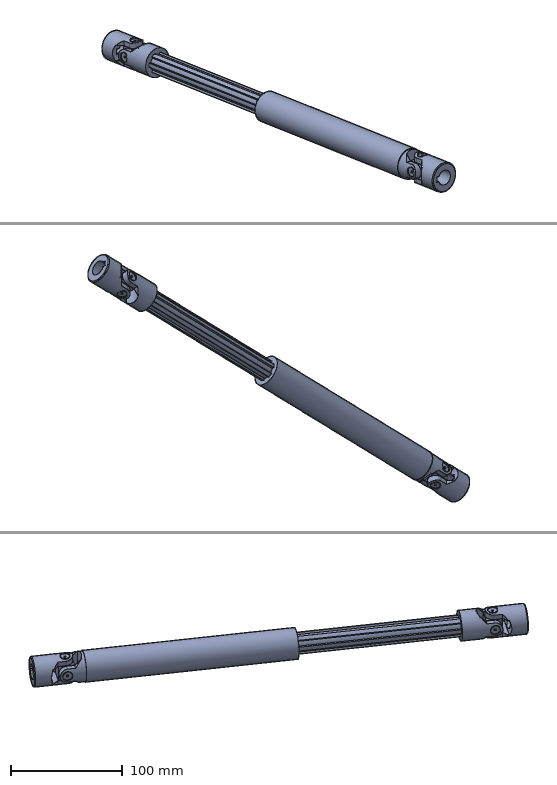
import cadquery as cq


TOTAL_LENGTH = 450.0
SLEEVE_DIA = 29.0
JOINT_DIA = 28.0
JOINT_RADIUS = JOINT_DIA / 2

JOINT_HALF_LENGTH = 30.0
LEFT_JOINT_X = JOINT_HALF_LENGTH
RIGHT_JOINT_X = TOTAL_LENGTH - JOINT_HALF_LENGTH
EAR_WIDTH = 14.0
EAR_TIP_RADIUS = EAR_WIDTH / 2
BEVEL_START = 14.5
BEVEL_END = BEVEL_START - (JOINT_RADIUS - EAR_WIDTH / 2)
CROSS_SIZE = 15.0
SLOT_END_RADIUS = 15.0

PIN_DIA = 9.0
PIN_REACH = 12.5
CENTRE_HOLE_DIA = 2.0
CENTRE_HOLE_DEPTH = 2.0

HUB_BORE_DIA = 14.0
HUB_CHAMFER = 1.0
KEYWAY_WIDTH = 5.0
KEYWAY_REACH = 9.0

SPLINE_TEETH = 6
SPLINE_ROOT_DIA = 16.0
SPLINE_TIP_DIA = 20.0
SPLINE_TOOTH_WIDTH = 4.0
SLEEVE_START_X = 209.2
SLEEVE_END_X = 402.8
SHAFT_END_X = 387.0


def x_cylinder(diameter, x_start, x_end):
    """Solid cylinder on the X axis."""
    return cq.Workplane("YZ", origin=(x_start, 0, 0)).circle(diameter / 2).extrude(x_end - x_start)


def yoke(body_length):
    """Forked cylinder: pin axis along Z through the origin, body towards -X."""
    ear_half = EAR_WIDTH / 2
    outline = (
        cq.Workplane("XY", origin=(0, 0, -JOINT_RADIUS))
        .moveTo(-body_length, -JOINT_RADIUS)
        .lineTo(-BEVEL_START, -JOINT_RADIUS)
        .lineTo(-BEVEL_END, -ear_half)
        .lineTo(0, -ear_half)
        .threePointArc((EAR_TIP_RADIUS, 0), (0, ear_half))
        .lineTo(-BEVEL_END, ear_half)
        .lineTo(-BEVEL_START, JOINT_RADIUS)
        .lineTo(-body_length, JOINT_RADIUS)
        .close()
        .extrude(JOINT_DIA)
    )
    slot_gap = cq.Workplane("XY").box(2 * SLOT_END_RADIUS, JOINT_DIA, CROSS_SIZE)
    slot = cq.Workplane("XZ").circle(SLOT_END_RADIUS).extrude(JOINT_RADIUS, both=True).intersect(slot_gap)
    pin_hole = cq.Workplane("XY").circle(PIN_DIA / 2).extrude(JOINT_RADIUS, both=True)
    body = x_cylinder(JOINT_DIA, -body_length, EAR_TIP_RADIUS)
    return body.intersect(outline).cut(slot).cut(pin_hole)


def spline_bar(x_start, x_end):
    """Splined bar with one tooth pointing along +Y."""
    length = x_end - x_start
    teeth = x_cylinder(SPLINE_ROOT_DIA, x_start, x_end)
    for index in range(SPLINE_TEETH):
        tooth = cq.Workplane("XY").box(
            length, SPLINE_TIP_DIA, SPLINE_TOOTH_WIDTH, centered=(False, False, True)
        ).translate((x_start, 0, 0))
        teeth = teeth.union(tooth.rotate((0, 0, 0), (1, 0, 0), index * 360 / SPLINE_TEETH))
    return teeth.intersect(x_cylinder(SPLINE_TIP_DIA, x_start, x_end))


def hub():
    """Keyed end hub: yoke with its pin axis along Z through the origin, bore open into the slot."""
    bore = x_cylinder(HUB_BORE_DIA, -JOINT_HALF_LENGTH, 0)
    keyway = cq.Workplane("XY").box(
        JOINT_HALF_LENGTH, KEYWAY_REACH, KEYWAY_WIDTH, centered=(False, False, True)
    ).translate((-JOINT_HALF_LENGTH, -KEYWAY_REACH, 0))
    return yoke(JOINT_HALF_LENGTH).faces("<X").edges().chamfer(HUB_CHAMFER).cut(bore).cut(keyway)


def cross():
    """Joint cross at the origin: cubic block with four pins along Y and Z."""
    block = cq.Workplane("XY").box(CROSS_SIZE, CROSS_SIZE, CROSS_SIZE)
    hole_start = PIN_REACH - CENTRE_HOLE_DEPTH
    for index in range(4):
        pin = cq.Workplane("XY").circle(PIN_DIA / 2).extrude(PIN_REACH)
        centre_hole = (
            cq.Workplane("XY", origin=(0, 0, hole_start))
            .circle(CENTRE_HOLE_DIA / 2)
            .extrude(CENTRE_HOLE_DEPTH)
        )
        angle = index * 90
        block = block.union(pin.rotate((0, 0, 0), (1, 0, 0), angle))
        block = block.cut(centre_hole.rotate((0, 0, 0), (1, 0, 0), angle))
    return block


def facing_left(body):
    """Turn a body half a turn about Z so that its fork opens towards -X."""
    return body.rotate((0, 0, 0), (0, 0, 1), 180)


def pins_along_y(body):
    """Turn a body a quarter turn about X so that its pin axis lies along Y."""
    return body.rotate((0, 0, 0), (1, 0, 0), 90)


def splined_shaft():
    """Left yoke with the spline bar that slides in the sleeve."""
    shaft_yoke = facing_left(pins_along_y(yoke(JOINT_HALF_LENGTH))).translate((LEFT_JOINT_X, 0, 0))
    return shaft_yoke.union(spline_bar(LEFT_JOINT_X + JOINT_HALF_LENGTH, SHAFT_END_X))


def sleeve():
    """Right yoke with the long sleeve; its blind splined bore holds the shaft."""
    body = pins_along_y(yoke(RIGHT_JOINT_X - SLEEVE_END_X)).translate((RIGHT_JOINT_X, 0, 0))
    body = body.union(x_cylinder(SLEEVE_DIA, SLEEVE_START_X, SLEEVE_END_X))
    return body.cut(spline_bar(SLEEVE_START_X, SHAFT_END_X))


hubs = [
    hub().translate((LEFT_JOINT_X, 0, 0)),
    hub().mirror("YZ").translate((RIGHT_JOINT_X, 0, 0)),
]
crosses = [cross().translate((x, 0, 0)) for x in (LEFT_JOINT_X, RIGHT_JOINT_X)]

bodies = [*hubs, *crosses, splined_shaft(), sleeve()]
result = cq.Compound.makeCompound([body.val() for body in bodies])